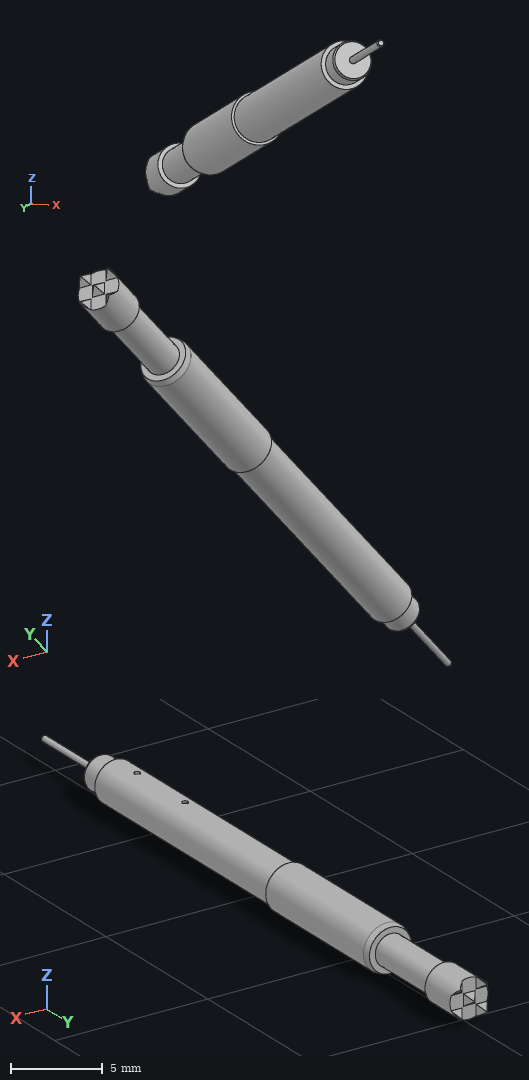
import cadquery as cq

TOTAL_LENGTH = 42.3
HEAD_LENGTH = 3.0
HEAD_DIAMETER = 2.5
PLUNGER_LENGTH = 5.25
PLUNGER_DIAMETER = 2.0
COLLAR_LENGTH = 10.0
COLLAR_DIAMETER = 3.0
BARREL_LENGTH = 17.0
BARREL_DIAMETER = 2.7
SLEEVE_LENGTH = 1.55
SLEEVE_DIAMETER = 2.2
WIRE_DIAMETER = 0.4

COLLAR_CHAMFER_LENGTH = 0.4
COLLAR_CHAMFER_DEPTH = 0.12
SLEEVE_CHAMFER_LENGTH = 0.15
SLEEVE_CHAMFER_DEPTH = 0.08
WIRE_CHAMFER_LENGTH = 0.1
WIRE_CHAMFER_DEPTH = 0.05

TOOTH_HEIGHT = 0.55
TOOTH_BASE = 0.75
TOOTH_OFFSET = 0.83

DIMPLE_DIAMETER = 0.36
DIMPLE_DEPTH = 0.15
DIMPLE_FROM_BARREL_END = (2.15, 6.85)

TIP_Y = TOTAL_LENGTH / 2
TOOTH_ROOT_Y = TIP_Y - TOOTH_HEIGHT
HEAD_END_Y = TIP_Y - HEAD_LENGTH
COLLAR_TOP_Y = HEAD_END_Y - PLUNGER_LENGTH
COLLAR_END_Y = COLLAR_TOP_Y - COLLAR_LENGTH
BARREL_END_Y = COLLAR_END_Y - BARREL_LENGTH
SLEEVE_END_Y = BARREL_END_Y - SLEEVE_LENGTH
WIRE_END_Y = TIP_Y - TOTAL_LENGTH


def turned_body():
    """Revolve the half profile of everything below the teeth about Y."""
    head_radius = HEAD_DIAMETER / 2
    plunger_radius = PLUNGER_DIAMETER / 2
    collar_radius = COLLAR_DIAMETER / 2
    barrel_radius = BARREL_DIAMETER / 2
    sleeve_radius = SLEEVE_DIAMETER / 2
    wire_radius = WIRE_DIAMETER / 2
    profile = [
        (0, TOOTH_ROOT_Y),
        (head_radius, TOOTH_ROOT_Y),
        (head_radius, HEAD_END_Y),
        (plunger_radius, HEAD_END_Y),
        (plunger_radius, COLLAR_TOP_Y),
        (collar_radius - COLLAR_CHAMFER_DEPTH, COLLAR_TOP_Y),
        (collar_radius, COLLAR_TOP_Y - COLLAR_CHAMFER_LENGTH),
        (collar_radius, COLLAR_END_Y),
        (barrel_radius, COLLAR_END_Y),
        (barrel_radius, BARREL_END_Y),
        (sleeve_radius, BARREL_END_Y),
        (sleeve_radius, SLEEVE_END_Y + SLEEVE_CHAMFER_LENGTH),
        (sleeve_radius - SLEEVE_CHAMFER_DEPTH, SLEEVE_END_Y),
        (wire_radius, SLEEVE_END_Y),
        (wire_radius, WIRE_END_Y + WIRE_CHAMFER_LENGTH),
        (wire_radius - WIRE_CHAMFER_DEPTH, WIRE_END_Y),
        (0, WIRE_END_Y),
    ]
    return cq.Workplane("XY").polyline(profile).close().revolve(360, (0, 0, 0), (0, 1, 0))


def face_plane(y):
    """Plane square to the axis at the given station, facing +Y."""
    return cq.Workplane(cq.Plane(origin=(0, y, 0), xDir=(1, 0, 0), normal=(0, 1, 0)))


def tooth(x, z):
    """Square pyramid with its point at the tip station: two crossed triangular prisms."""
    half_base = TOOTH_BASE / 2
    triangle = [(-half_base, TOOTH_ROOT_Y), (half_base, TOOTH_ROOT_Y), (0, TIP_Y)]
    ridge = cq.Workplane("XY").polyline(triangle).close().extrude(half_base, both=True)
    crossing_ridge = ridge.rotate((0, 0, 0), (0, 1, 0), 90)
    return ridge.intersect(crossing_ridge).translate((x, 0, z))


def head_teeth():
    """Five teeth, trimmed on the outside by the cylinder of the head."""
    corners = [(i * TOOTH_OFFSET, j * TOOTH_OFFSET) for i in (-1, 1) for j in (-1, 1)]
    teeth = tooth(0, 0)
    for x, z in corners:
        teeth = teeth.union(tooth(x, z))
    envelope = face_plane(TOOTH_ROOT_Y).circle(HEAD_DIAMETER / 2).extrude(TOOTH_HEIGHT)
    return teeth.intersect(envelope)


def barrel_dimples():
    """Blind round tools that sink the dimples into the +Z side of the barrel."""
    stations = [(0, BARREL_END_Y + distance) for distance in DIMPLE_FROM_BARREL_END]
    floor_z = BARREL_DIAMETER / 2 - DIMPLE_DEPTH
    plane = cq.Workplane("XY").workplane(offset=floor_z)
    return plane.pushPoints(stations).circle(DIMPLE_DIAMETER / 2).extrude(BARREL_DIAMETER / 2)


result = turned_body().union(head_teeth()).cut(barrel_dimples())